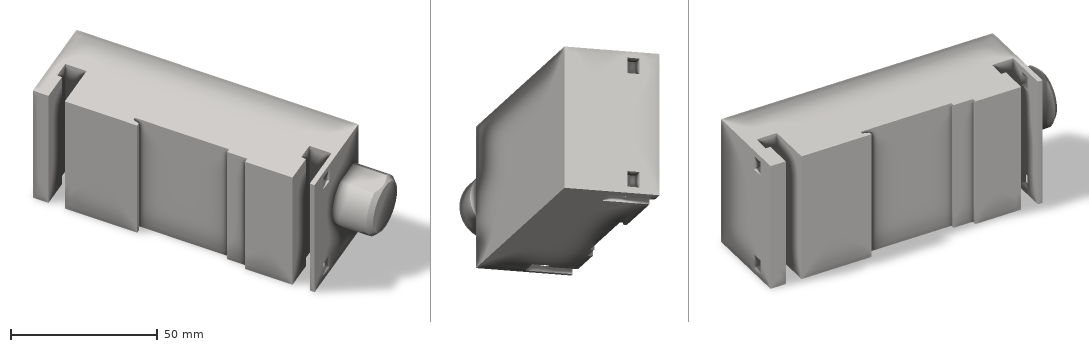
import cadquery as cq

total_length = 121.8
total_depth = 35.9
height = 50.0
housing_length = 107.2
housing_depth = 33.9

slot_depth = 16.8
hook_depth = 10.5
hook_width = 1.8
left_wall = 4.1
left_slot_end = 12.2
right_slot_start = 97.0
right_wall = 1.8

recess_start = 37.3
recess_depth = 3.2
lip_reach = 2.4
lip_tip_depth = 1.2
lip_root_depth = 2.1
recess_step_start = 73.1
recess_step_depth = 1.7
recess_end = 80.8

window_depth_start = 7.1
window_depth_size = 4.4
window_height = 5.5
window_margin = 2.2
left_window_depth = 4.9

connector_diameter = 22.2
connector_end_diameter = 18.8
connector_flats = 20.0
connector_length = total_length - housing_length
connector_chamfer = (connector_diameter - connector_end_diameter) / 2
connector_y = total_depth - connector_diameter / 2


def make_housing():
    """Extrude the housing profile, with its slots and rail recess, along Z."""
    right_wall_start = housing_length - right_wall
    left_hook_end = left_wall + hook_width
    right_hook_end = right_slot_start + hook_width
    lip_tip = recess_start + lip_reach
    profile = [
        (0, 0),
        (left_hook_end, 0),
        (left_hook_end, hook_depth),
        (left_wall, hook_depth),
        (left_wall, slot_depth),
        (left_slot_end, slot_depth),
        (left_slot_end, 0),
        (lip_tip, 0),
        (lip_tip, lip_tip_depth),
        (recess_start, lip_root_depth),
        (recess_start, recess_depth),
        (recess_step_start, recess_depth),
        (recess_step_start, recess_step_depth),
        (recess_end, recess_step_depth),
        (recess_end, 0),
        (right_hook_end, 0),
        (right_hook_end, hook_depth),
        (right_slot_start, hook_depth),
        (right_slot_start, slot_depth),
        (right_wall_start, slot_depth),
        (right_wall_start, 0),
        (housing_length, 0),
        (housing_length, housing_depth),
        (0, housing_depth),
    ]
    return cq.Workplane("XY").polyline(profile).close().extrude(height)


def make_window(x_start, x_size, z_start):
    """Cutter for one rectangular window running along X."""
    return (
        cq.Workplane("XY")
        .box(x_size, window_depth_size, window_height, centered=False)
        .translate((x_start, window_depth_start, z_start))
    )


def make_connector():
    """Round connector along X with a chamfered end and flats facing up and down."""
    barrel = (
        cq.Workplane("YZ", origin=(housing_length, connector_y, height / 2))
        .circle(connector_diameter / 2)
        .extrude(connector_length)
        .faces(">X")
        .chamfer(connector_chamfer)
    )
    between_flats = (
        cq.Workplane("XY")
        .box(connector_length, connector_diameter, connector_flats)
        .translate((housing_length + connector_length / 2, connector_y, height / 2))
    )
    return barrel.intersect(between_flats)


result = make_housing()
for window_z in (window_margin, height - window_margin - window_height):
    result = result.cut(make_window(0, left_window_depth, window_z))
    result = result.cut(make_window(housing_length - right_wall, right_wall, window_z))
result = result.union(make_connector())